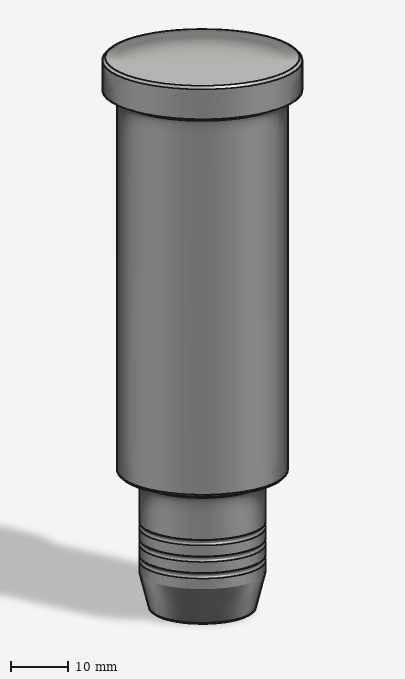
import cadquery as cq

total_length = 101.0
head_diameter = 35.0
head_height = 6.0
head_chamfer = 0.5
body_diameter = 30.0
body_length = 70.0
body_chamfer = 0.5
spigot_diameter = 22.2
tip_diameter = 18.6
taper_height = 7.1
tip_chamfer = 0.4

relief_depth = 0.5
relief_width = 1.1
relief_fillet = 0.5
neck_height = 1.3
groove_count = 3
groove_pitch = 3.0
groove_radius = 0.5
groove_inset = 0.1
first_groove_middle = 9.5

head_bottom = total_length - head_height
body_bottom = head_bottom - body_length


def cylinder(diameter, bottom, height):
    return cq.Workplane("XY").workplane(offset=bottom).circle(diameter / 2).extrude(height)


def ring_groove(diameter, depth, bottom, width):
    """Ring that cuts a square-sided groove into a shaft of the given diameter."""
    return cylinder(diameter, bottom, width).cut(cylinder(diameter - 2 * depth, bottom, width))


def round_groove(middle):
    """Torus that cuts a round-bottomed groove into the spigot at the given height."""
    center_radius = spigot_diameter / 2 - groove_inset
    return (
        cq.Workplane("XZ").center(center_radius, middle).circle(groove_radius)
        .revolve(360, (-center_radius, 0, 0), (-center_radius, 1, 0))
    )


def make_head():
    return cylinder(head_diameter, head_bottom, head_height).faces(">Z").chamfer(head_chamfer)


def make_body():
    body = cylinder(body_diameter, body_bottom, body_length).faces("<Z").chamfer(body_chamfer)
    return body.cut(ring_groove(body_diameter, relief_depth, head_bottom - relief_width, relief_width))


def make_spigot():
    straight = cylinder(spigot_diameter, taper_height, body_bottom - taper_height)
    taper = (
        cq.Workplane("XY").circle(tip_diameter / 2)
        .workplane(offset=taper_height).circle(spigot_diameter / 2)
        .loft(ruled=True)
        .faces("<Z").chamfer(tip_chamfer)
    )
    spigot = straight.union(taper)
    spigot = spigot.cut(ring_groove(spigot_diameter, relief_depth, body_bottom - neck_height, neck_height))
    for index in range(groove_count):
        middle = first_groove_middle + index * groove_pitch
        spigot = spigot.cut(round_groove(middle))
    return spigot


def make_relief_fillet():
    """Concave ring that blends the relief floor into the underside of the head."""
    floor_radius = body_diameter / 2 - relief_depth
    arc_middle = relief_fillet * (1 - 0.5 ** 0.5)
    return (
        cq.Workplane("XZ").moveTo(0, head_bottom)
        .lineTo(floor_radius + relief_fillet, head_bottom)
        .threePointArc(
            (floor_radius + arc_middle, head_bottom - arc_middle),
            (floor_radius, head_bottom - relief_fillet),
        )
        .lineTo(0, head_bottom - relief_fillet)
        .close()
        .revolve(360, (0, 0, 0), (0, 1, 0))
    )


result = make_head().union(make_body()).union(make_spigot()).union(make_relief_fillet())